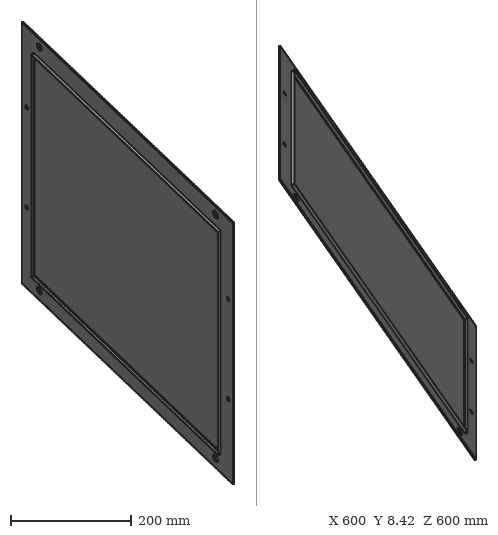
import cadquery as cq

sheet_thickness = 1.42

plate_side = 600.02
plate_thickness = 2 * sheet_thickness

tray_width = 528.4
tray_length = 510.4
tray_depth = 7.0

rim_width = tray_width + 2 * sheet_thickness
rim_length = tray_length + 2 * sheet_thickness
rim_height = tray_depth + sheet_thickness - plate_thickness

corner_hole_diameter = 14.0
corner_hole_spacing_x = 500.0
corner_hole_spacing_z = 560.0
corner_hole_centre_z = 1.5

side_hole_diameter = 8.0
side_hole_spacing_x = 572.0
side_hole_spacing_z = 230.0
side_hole_centre_z = 0.0


def block(width, depth, length, front_y):
    """Box centred in X and Z whose front face lies at front_y."""
    centre_y = front_y + depth / 2
    return cq.Workplane("XY").box(width, depth, length).translate((0, centre_y, 0))


def hole_cutters(diameter, spacing_x, spacing_z, centre_z):
    """Four cylinders on a rectangular pattern, running back through the plate."""
    return (
        cq.Workplane("XZ", origin=(0, 0, centre_z))
        .rect(spacing_x, spacing_z, forConstruction=True)
        .vertices()
        .circle(diameter / 2)
        .extrude(-plate_thickness)
    )


plate = block(plate_side, plate_thickness, plate_side, 0)
rim = block(rim_width, rim_height, rim_length, -rim_height)
tray = block(tray_width, tray_depth, tray_length, -rim_height)

corner_holes = hole_cutters(
    corner_hole_diameter, corner_hole_spacing_x, corner_hole_spacing_z, corner_hole_centre_z
)
side_holes = hole_cutters(
    side_hole_diameter, side_hole_spacing_x, side_hole_spacing_z, side_hole_centre_z
)

result = plate.union(rim).cut(tray).cut(corner_holes).cut(side_holes)